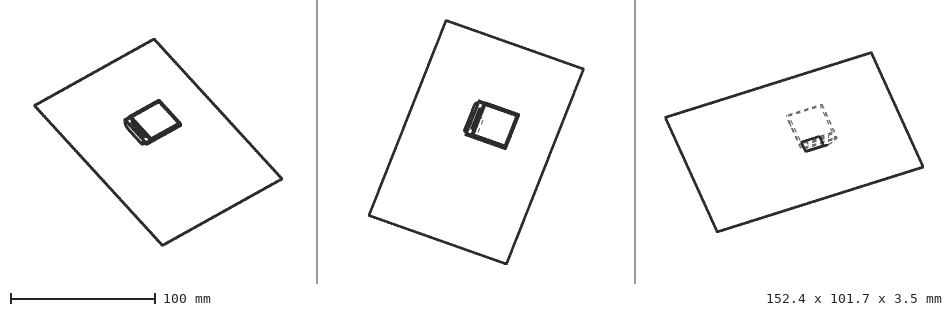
import cadquery as cq

sheet_length = 152.4
sheet_width = 101.7
sheet_thickness = 0.5
sheet_bottom = 0.23

module_x = -15.2
frame_width = 26.5
frame_back = 20.9
frame_front = -8.5
frame_bottom = 2.0
frame_top = 3.28

ledge_top = 2.51

lower_glass_width = 24.4
lower_glass_front = -8.4

cover_width = 26.0
cover_front = -4.5
cover_top = 3.5

window_width = 23.3
window_back = 19.8
window_depth = 0.08
cover_border = 1.0
window_front = cover_front + cover_border

chip_width = 15.7
chip_length = 0.6
chip_y = -6.0
chip_top = 3.43

pocket_width = 0.6
pocket_depth = 0.2
pocket_bottom = 2.3
pocket_top = 2.82
pocket_pitch = 6.5
pocket_count = 3
first_pocket_y = 18.9

ribbon_thickness = 0.2
ribbon_left = -26.4
ribbon_right = -4.7
ribbon_bond_end = -8.2
ribbon_bend_front = -10.7
ribbon_tail_end = -1.4
ribbon_tail_left = -18.1

ribbon_top = frame_top
lower_glass_top = ribbon_top - ribbon_thickness
bend_radius = ribbon_top / 2
bend_y = ribbon_bend_front + bend_radius


def block(width, front, back, bottom, top):
    """Box centred across the module, given by its front, back, bottom and top."""
    return (
        cq.Workplane("XY", origin=(module_x, (front + back) / 2, bottom))
        .box(width, back - front, top - bottom, centered=(True, True, False))
    )


def make_frame():
    """Tall frame under the cover, with a low ledge in front that carries the lower glass."""
    tall_part = block(frame_width, cover_front, frame_back, frame_bottom, frame_top)
    ledge = block(frame_width, frame_front, cover_front, frame_bottom, ledge_top)
    frame = tall_part.union(ledge)
    for index in range(pocket_count):
        pocket_y = first_pocket_y - index * pocket_pitch
        for side in (-1, 1):
            pocket = (
                cq.Workplane("XY")
                .box(2 * pocket_depth, pocket_width, pocket_top - pocket_bottom, centered=(True, True, False))
                .translate((module_x + side * frame_width / 2, pocket_y, pocket_bottom))
            )
            frame = frame.cut(pocket)
    return frame


def make_cover():
    """Cover glass with a shallow recessed viewing window."""
    cover = block(cover_width, cover_front, frame_back, frame_top, cover_top)
    window = block(window_width, window_front, window_back, cover_top - window_depth, cover_top)
    return cover.cut(window)


def make_ribbon():
    """Thin strip bent around half a turn, its left edge sloping inward down the bend."""
    inner_radius = bend_radius - ribbon_thickness
    strip = (
        cq.Workplane("YZ", origin=(ribbon_left, 0, 0))
        .moveTo(ribbon_bond_end, ribbon_top)
        .lineTo(bend_y, ribbon_top)
        .threePointArc((bend_y - bend_radius, bend_radius), (bend_y, 0))
        .lineTo(ribbon_tail_end, 0)
        .lineTo(ribbon_tail_end, ribbon_thickness)
        .lineTo(bend_y, ribbon_thickness)
        .threePointArc((bend_y - inner_radius, bend_radius), (bend_y, lower_glass_top))
        .lineTo(ribbon_bond_end, lower_glass_top)
        .close()
        .extrude(ribbon_right - ribbon_left)
    )
    outline = (
        cq.Workplane("XZ", origin=(0, ribbon_tail_end, 0))
        .polyline([
            (ribbon_left, ribbon_top),
            (ribbon_left, lower_glass_top),
            (ribbon_tail_left, ribbon_thickness),
            (ribbon_tail_left, 0),
            (ribbon_right, 0),
            (ribbon_right, ribbon_top),
        ])
        .close()
        .extrude(ribbon_tail_end - ribbon_bend_front)
    )
    return strip.intersect(outline)


def make_display():
    """One fused module: frame, cover, lower glass, driver chip and ribbon."""
    lower_glass = block(lower_glass_width, lower_glass_front, cover_front, ledge_top, lower_glass_top)
    chip_front = chip_y - chip_length / 2
    chip = block(chip_width, chip_front, chip_front + chip_length, lower_glass_top, chip_top)
    return (
        make_frame()
        .union(make_cover())
        .union(lower_glass)
        .union(chip)
        .union(make_ribbon())
        .clean()
    )


def make_sheet(display):
    """Flat sheet with a slot that matches the ribbon passing through it."""
    plate = (
        cq.Workplane("XY", origin=(0, 0, sheet_bottom))
        .box(sheet_length, sheet_width, sheet_thickness, centered=(True, True, False))
    )
    return plate.cut(display)


display = make_display()
sheet = make_sheet(display)

result = cq.Compound.makeCompound([*sheet.solids().vals(), *display.solids().vals()])